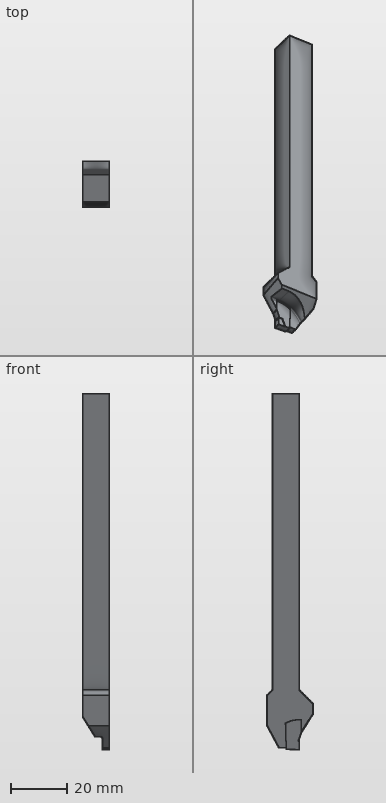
import cadquery as cq
import math

shank_size = 9.6
total_length = 127.0
head_width = 16.43
front_overhang = 1.93
head_front_y = -front_overhang
head_back_y = head_width - front_overhang
shoulder_z = 21.4
shoulder_angle = 45.0
back_shoulder_end_z = shoulder_z - (head_back_y - shank_size) * math.tan(math.radians(shoulder_angle))
front_shoulder_end_z = shoulder_z - front_overhang * math.tan(math.radians(shoulder_angle))

front_taper_z = 8.7
front_taper_angle = 61.8
back_taper_z = 12.8
back_taper_angle = 58.0
back_taper_draft = 4.5
holder_end_y = 2.33
holder_end_z = front_taper_z - (holder_end_y - head_front_y) * math.tan(math.radians(front_taper_angle))

chamfer_z = 11.85
chamfer_angle = 58.0
blade_thickness = 2.55
blade_x = shank_size - blade_thickness
relief_radius = 10.2
relief_top_z = 10.8
relief_center_y = shank_size
relief_center_z = relief_top_z - relief_radius
relief_fillet = 0.55

insert_back_y = 10.36
insert_front_y = 4.95
insert_front_tilt = 1.5
rake_start_z = 6.2
tooth_height = 3.2
tooth_y = shank_size
rake_foot_y = 9.3
end_relief_angle = 3.0
insert_end_z = (tooth_y - insert_front_y) * math.tan(math.radians(end_relief_angle))
flank_angle = 5.0
flank_foot_y = 6.75
flank_top_y = 8.0

clearance = 5.0


def yz_prism(sketch_points, x_start, x_end):
    """Straight prism along X with a polygonal Y-Z outline."""
    return cq.Workplane("YZ", origin=(x_start, 0, 0)).polyline(sketch_points).close().extrude(x_end - x_start)


def make_blank():
    """Shank and widened head as one plate, with the front taper."""
    outline = [
        (0, total_length),
        (0, shoulder_z),
        (head_front_y, front_shoulder_end_z),
        (head_front_y, front_taper_z),
        (holder_end_y, holder_end_z),
        (head_back_y, holder_end_z),
        (head_back_y, back_shoulder_end_z),
        (shank_size, shoulder_z),
        (shank_size, total_length),
    ]
    return yz_prism(outline, 0, shank_size)


def make_back_taper_cutter():
    """Wedge below the back taper; its sloping face leans inwards towards -X."""
    slope = math.tan(math.radians(back_taper_angle))
    lift = shank_size * math.tan(math.radians(back_taper_draft)) / math.cos(math.radians(back_taper_angle))
    outer_y = head_back_y + clearance
    foot_z = -clearance

    def outline(start_z):
        foot_y = head_back_y - (start_z - foot_z) / slope
        return [(foot_y, foot_z), (outer_y, foot_z), (outer_y, start_z + clearance * slope)]

    return (
        cq.Workplane("YZ")
        .polyline(outline(back_taper_z + lift)).close()
        .workplane(offset=shank_size)
        .polyline(outline(back_taper_z)).close()
        .loft(ruled=True)
    )


def make_chamfer_cutter():
    """Wedge that slopes the -X side of the head down to the blade."""
    foot_z = chamfer_z - blade_x * math.tan(math.radians(chamfer_angle))
    return (
        cq.Workplane("XZ", origin=(0, head_back_y + clearance, 0))
        .polyline([(0, chamfer_z), (0, foot_z), (blade_x, foot_z)]).close()
        .extrude(head_width + 2 * clearance)
    )


def relief_arc_point(y):
    """Point of the round relief wall at a given Y."""
    return y, relief_center_z + math.sqrt(relief_radius**2 - (y - relief_center_y) ** 2)


def make_relief_cutter():
    """Pocket that leaves the thin blade, with a round wall and a filleted foot."""
    outer_y = head_back_y + clearance
    arc_end = (relief_center_y - relief_radius, relief_center_z)
    arc_middle = relief_arc_point(relief_center_y - relief_radius * math.sqrt(0.5))
    return (
        cq.Workplane("YZ", origin=(-clearance, 0, 0))
        .moveTo(outer_y, relief_top_z)
        .lineTo(relief_center_y, relief_top_z)
        .threePointArc(arc_middle, arc_end)
        .lineTo(arc_end[0], -clearance)
        .lineTo(outer_y, -clearance)
        .close()
        .extrude(blade_x + clearance)
        .faces(">X").edges().fillet(relief_fillet)
    )


def make_insert_blank():
    """Flat insert that fills the blade thickness up to the relief wall."""
    front_top_y = insert_front_y - relief_top_z * math.tan(math.radians(insert_front_tilt))
    front_top = relief_arc_point(front_top_y)
    arc_middle = relief_arc_point((front_top_y + relief_center_y) / 2)
    return (
        cq.Workplane("YZ", origin=(blade_x, 0, 0))
        .moveTo(tooth_y, 0)
        .lineTo(tooth_y, tooth_height)
        .lineTo(rake_foot_y, tooth_height)
        .lineTo(insert_back_y, rake_start_z)
        .lineTo(insert_back_y, relief_top_z)
        .lineTo(relief_center_y, relief_top_z)
        .threePointArc(arc_middle, front_top)
        .lineTo(insert_front_y, insert_end_z)
        .close()
        .extrude(blade_thickness)
    )


def make_flank_cutter():
    """Shallow ground flank on the -X side of the tooth, fading out at the cutting corner."""
    foot_z = (tooth_y - flank_foot_y) * math.tan(math.radians(end_relief_angle))
    border = cq.Vector(0, flank_top_y - flank_foot_y, tooth_height - foot_z)
    across = cq.Vector(0, border.z, -border.y)
    foot_to_corner = cq.Vector(0, tooth_y - flank_foot_y, -foot_z)
    width = foot_to_corner.dot(across.normalized())
    depth = width * math.tan(math.radians(flank_angle))
    border_plane = cq.Plane(origin=(blade_x, flank_foot_y, foot_z), xDir=across, normal=border)
    wedge = (
        cq.Workplane(border_plane)
        .polyline([(0, 0), (width, 0), (0, -depth)]).close()
        .extrude(tooth_height + clearance, both=True)
    )
    tooth_outline = [
        (flank_foot_y, foot_z),
        (tooth_y, 0),
        (tooth_y, tooth_height),
        (flank_top_y, tooth_height),
    ]
    return wedge.intersect(yz_prism(tooth_outline, blade_x, shank_size))


insert_blank = make_insert_blank()

holder = (
    make_blank()
    .cut(make_back_taper_cutter())
    .cut(make_chamfer_cutter())
    .cut(make_relief_cutter())
    .cut(insert_blank)
)

insert = insert_blank.cut(make_flank_cutter())

result = cq.Compound.makeCompound([holder.solids().val(), insert.solids().val()])